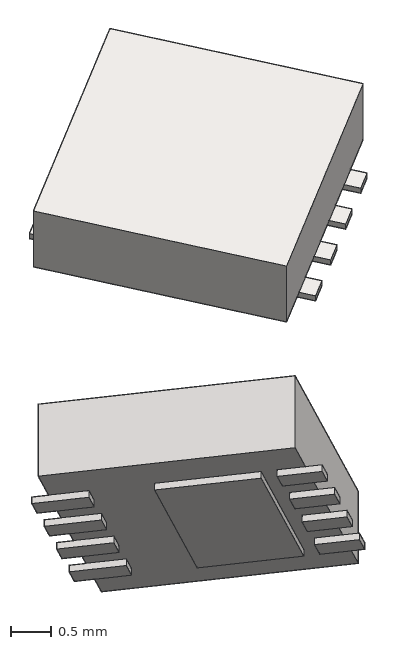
import cadquery as cq

housing_side = 3.3
housing_height = 1.007

metal_thickness = 0.095

lead_span = 3.73
lead_width = 0.275
lead_pitch = 0.65
leads_per_side = 4
left_lead_length = 0.58
right_lead_length = 0.735

pad_left = -1.08
pad_length = 1.37
pad_width = (leads_per_side - 1) * lead_pitch + lead_width


def make_housing():
    """Block whose underside sits on top of the metal layer."""
    return (
        cq.Workplane("XY", origin=(0, 0, metal_thickness))
        .box(housing_side, housing_side, housing_height, centered=(True, True, False))
    )


def make_metal_strip(left_x, center_y, length, width):
    """Flat rectangle of the metal layer, with its bottom at Z = 0."""
    return (
        cq.Workplane("XY", origin=(left_x, center_y, 0))
        .box(length, width, metal_thickness, centered=(False, True, False))
    )


def make_leads():
    """Both rows of leads, each lead a separate solid."""
    leads = []
    for index in range(leads_per_side):
        lead_y = (index - (leads_per_side - 1) / 2) * lead_pitch
        left_lead = make_metal_strip(-lead_span / 2, lead_y, left_lead_length, lead_width)
        right_lead_start = lead_span / 2 - right_lead_length
        right_lead = make_metal_strip(right_lead_start, lead_y, right_lead_length, lead_width)
        leads.extend([left_lead.val(), right_lead.val()])
    return leads


housing = make_housing()
leads = make_leads()
thermal_pad = make_metal_strip(pad_left, 0, pad_length, pad_width)

result = cq.Compound.makeCompound([housing.val(), thermal_pad.val(), *leads])